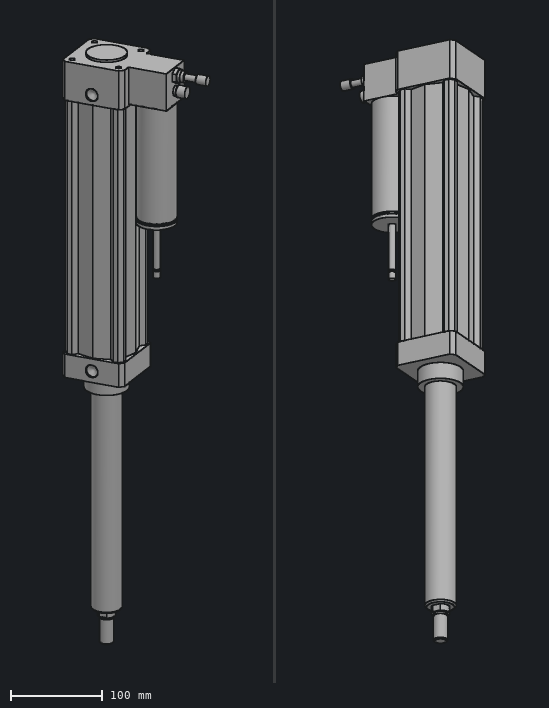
import cadquery as cq
import math


TOTAL_HEIGHT = 694
HEAD_TOP = 691.0
HEAD_BOTTOM = 645.5
FOOT_TOP = 347
FOOT_BOTTOM = 319
COLLAR_BOTTOM = 300.5
ROD_SHOULDER = 40.0

CAP_WIDTH = 75.0
CAP_CHAMFER = 5.0
COVER_DIAMETER = 45.0
COLLAR_DIAMETER = 50.0
BOLT_HOLE_DIAMETER = 6.0
BOLT_HOLE_DEPTH = 10.5
BOLT_SPACING = 56.0
PORT_DIAMETER = 14.5
PORT_DEPTH = 2.0
DRILL_POINT_ANGLE = 118
HEAD_PORT_LEVEL = 657.0
FOOT_PORT_LEVEL = 332.5

TUBE_HALF_WIDTH = 35.5
TUBE_CHAMFER = 5.0
POST_INNER_EDGE = 25.0
RECESS_DEPTH = 5.2

GEARBOX_END = 83
GEARBOX_WIDTH = 45.0
GEARBOX_BOTTOM = 647.5

PLUG_LEVEL = 681.5
PLUG_HEX_CORNERS = 18.0
PLUG_HEX_LENGTH = 5.0
PLUG_SECTIONS = [(14, 3.5), (13.0, 4.0), (8.0, 14.5), (12.0, 12.5)]
SOCKET_LEVEL = 663.5
SOCKET_SECTIONS = [(12.0, 3.5), (14, 11.0)]

MOTOR_X = GEARBOX_END - GEARBOX_WIDTH / 2
MOTOR_DIAMETER = GEARBOX_WIDTH
MOTOR_GROOVE_DIAMETER = 41.0
MOTOR_GROOVE_TOP = 511.5
MOTOR_FLANGE_TOP = 509.0
MOTOR_BOTTOM = 504.5
CABLE_DIAMETER = 8.0
CABLE_GROOVE_DIAMETER = 7
CABLE_GROOVE_TOP = 450.5
CABLE_GROOVE_BOTTOM = 448.0
CABLE_BOTTOM = 440.0

ROD_DIAMETER = 35
ROD_CHAMFER = 2.0
WRENCH_DIAMETER = 20.0
WRENCH_FLATS = 18.0
WRENCH_BOTTOM = 32.5
RELIEF_DIAMETER = 14.5
RELIEF_BOTTOM = 30.0
THREAD_DIAMETER = 16.0
THREAD_CHAMFER = 1.5


def disc(diameter, bottom, top, x=0):
    """Vertical cylinder between two levels."""
    return cq.Workplane("XY", origin=(x, 0, bottom)).circle(diameter / 2).extrude(top - bottom)


def cap(bottom, top):
    """Square end cap with chamfered upright edges."""
    block = cq.Workplane("XY", origin=(0, 0, bottom)).rect(CAP_WIDTH, CAP_WIDTH).extrude(top - bottom)
    return block.edges("|Z").chamfer(CAP_CHAMFER)


def tube():
    """Profile with chamfered corner posts and a shallow ridge in the recess of each side."""
    corner = TUBE_HALF_WIDTH - TUBE_CHAMFER
    recess_edge = POST_INNER_EDGE - RECESS_DEPTH
    recess_level = TUBE_HALF_WIDTH - RECESS_DEPTH
    side = [
        (corner, TUBE_HALF_WIDTH),
        (POST_INNER_EDGE, TUBE_HALF_WIDTH),
        (recess_edge, recess_level),
        (0, TUBE_HALF_WIDTH),
        (-recess_edge, recess_level),
        (-POST_INNER_EDGE, TUBE_HALF_WIDTH),
        (-corner, TUBE_HALF_WIDTH),
    ]
    outline = []
    for quarter in range(4):
        cos_turn = round(math.cos(quarter * math.pi / 2))
        sin_turn = round(math.sin(quarter * math.pi / 2))
        outline += [(x * cos_turn - y * sin_turn, x * sin_turn + y * cos_turn) for x, y in side]
    profile = cq.Workplane("XY", origin=(0, 0, FOOT_TOP)).polyline(outline).close()
    return profile.extrude(HEAD_BOTTOM - FOOT_TOP)


def port(level):
    """Blind drilled port with a conical bottom, entering the -Y side of a cap."""
    radius = PORT_DIAMETER / 2
    tip_depth = PORT_DEPTH + radius / math.tan(math.radians(DRILL_POINT_ANGLE / 2))
    half_section = [(0, 0), (radius, 0), (radius, PORT_DEPTH), (0, tip_depth)]
    drill = cq.Workplane("XY").polyline(half_section).close().revolve(360, (0, 0, 0), (0, 1, 0))
    return drill.translate((0, -CAP_WIDTH / 2, level))


def bolt_holes():
    """Blind holes at the four corners of the head."""
    top = cq.Workplane("XY", origin=(0, 0, HEAD_TOP))
    centers = top.rect(BOLT_SPACING, BOLT_SPACING, forConstruction=True).vertices()
    return centers.circle(BOLT_HOLE_DIAMETER / 2).extrude(-BOLT_HOLE_DEPTH)


def gearbox():
    """Block reaching from the cylinder axis out of the head, flush with its top."""
    base = cq.Workplane("XY", origin=(GEARBOX_END / 2, 0, GEARBOX_BOTTOM))
    return base.rect(GEARBOX_END, GEARBOX_WIDTH).extrude(HEAD_TOP - GEARBOX_BOTTOM)


def bar_along_x(diameter, start, length, level):
    """Round bar pointing in +X direction."""
    return cq.Workplane("YZ", origin=(start, 0, level)).circle(diameter / 2).extrude(length)


def stepped_connector(body, start, level, sections):
    """Adds round sections, one after the other in +X direction, to a body."""
    for diameter, length in sections:
        body = body.union(bar_along_x(diameter, start, length, level))
        start += length
    return body


def plug_nut():
    """Hexagonal nut with two of its corners pointing straight up and down."""
    start_plane = cq.Workplane("YZ", origin=(GEARBOX_END, 0, PLUG_LEVEL))
    nut = start_plane.transformed(rotate=(0, 0, 90)).polygon(6, PLUG_HEX_CORNERS)
    return nut.extrude(PLUG_HEX_LENGTH)


def wrench_collar():
    """Round collar with two flats facing -Y and +Y."""
    collar = disc(WRENCH_DIAMETER, WRENCH_BOTTOM, ROD_SHOULDER)
    between_flats = cq.Workplane("XY").rect(WRENCH_DIAMETER, WRENCH_FLATS).extrude(ROD_SHOULDER)
    return collar.intersect(between_flats)


def make_housing():
    """Head, tube, foot, collar, gearbox and connectors as one solid."""
    body = cap(HEAD_BOTTOM, HEAD_TOP).union(tube()).union(cap(FOOT_BOTTOM, FOOT_TOP))
    body = body.union(disc(COVER_DIAMETER, HEAD_TOP, TOTAL_HEIGHT))
    body = body.union(disc(COLLAR_DIAMETER, COLLAR_BOTTOM, FOOT_BOTTOM))
    body = body.union(gearbox())
    body = body.union(plug_nut())
    body = stepped_connector(body, GEARBOX_END + PLUG_HEX_LENGTH, PLUG_LEVEL, PLUG_SECTIONS)
    body = stepped_connector(body, GEARBOX_END, SOCKET_LEVEL, SOCKET_SECTIONS)
    body = body.cut(bolt_holes())
    return body.cut(port(HEAD_PORT_LEVEL)).cut(port(FOOT_PORT_LEVEL))


def make_motor():
    """Round motor with a grooved lower flange and the cable hanging from it."""
    body = disc(MOTOR_DIAMETER, MOTOR_GROOVE_TOP, GEARBOX_BOTTOM, MOTOR_X)
    body = body.union(disc(MOTOR_GROOVE_DIAMETER, MOTOR_FLANGE_TOP, MOTOR_GROOVE_TOP, MOTOR_X))
    body = body.union(disc(MOTOR_DIAMETER, MOTOR_BOTTOM, MOTOR_FLANGE_TOP, MOTOR_X))
    body = body.union(disc(CABLE_DIAMETER, CABLE_GROOVE_TOP, MOTOR_BOTTOM, MOTOR_X))
    body = body.union(disc(CABLE_GROOVE_DIAMETER, CABLE_GROOVE_BOTTOM, CABLE_GROOVE_TOP, MOTOR_X))
    return body.union(disc(CABLE_DIAMETER, CABLE_BOTTOM, CABLE_GROOVE_BOTTOM, MOTOR_X))


def make_rod():
    """Rod standing against the collar, with a wrench collar and a threaded end."""
    body = disc(ROD_DIAMETER, ROD_SHOULDER, COLLAR_BOTTOM).faces("<Z").chamfer(ROD_CHAMFER)
    body = body.union(wrench_collar())
    body = body.union(disc(RELIEF_DIAMETER, RELIEF_BOTTOM, WRENCH_BOTTOM))
    return body.union(disc(THREAD_DIAMETER, 0, RELIEF_BOTTOM).faces("<Z").chamfer(THREAD_CHAMFER))


housing = make_housing()
motor = make_motor()
rod = make_rod()

result = cq.Compound.makeCompound([housing.val(), motor.val(), rod.val()])